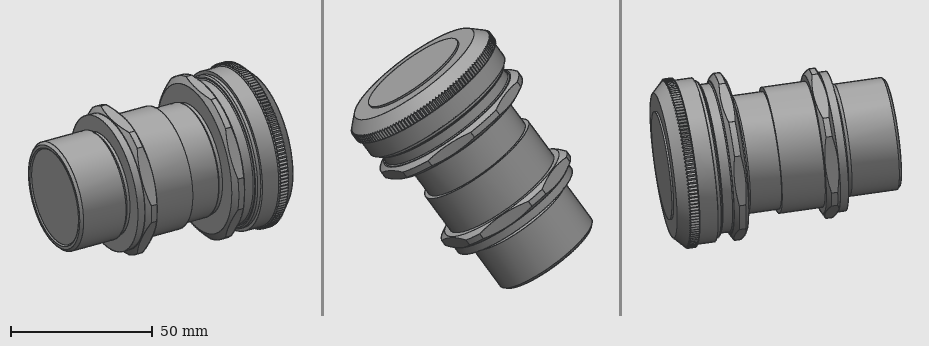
import cadquery as cq
import math

LENGTH = 82.5

SPIGOT_D = 40.0
SPIGOT_CHAMFER = 1.0
SPIGOT_END = 18.0
RELIEF_D = 38.0
RELIEF_START = 19.0

RECESS_D = 36.0
RECESS_TAPER = 0.5

FLANGE_D = 49.8
FLANGE_START = 20.1
SMALL_HEX_START = 23.0
SMALL_HEX_END = 28.05
SMALL_HEX_FLATS = 50.0
SMALL_HEX_CORNER_D = 54.2
SMALL_HEX_FACE_D = 49.3

BARREL_D = 45.0
BARREL_END = 43.5
THIN_BARREL_D = 42.0
THIN_BARREL_END = 54.6
GROOVE_D = 41.0
GROOVE_START = 55.1

LARGE_HEX_START = 56.4
LARGE_HEX_END = 61.6
LARGE_HEX_FLATS = 56.9
LARGE_HEX_CORNER_D = 59.8
LARGE_HEX_FACE_D = 54.8

NECK_D = 53.0
NECK_CHAMFER = 0.4
COLLAR_START = 65.9
COLLAR_D = 56.0
COLLAR_CHAMFER = 0.6
CAP_START = 67.7
CAP_D = 58.5

KNURL_START = 74.25
KNURL_TIP_START = 74.75
KNURL_D = 60.4
KNURL_END = 77.5
KNURL_TEETH = 140
KNURL_DEPTH = 0.6
CAP_FACE_D = 51.65
CAP_END = 81.8
BOSS_D = 38.5

HEX_SIDES = 6
HEX_CHAMFER_ANGLE = 30.0


def revolve_profile(stations):
    """Solid of revolution about Y from (y, diameter) stations."""
    points = [(diameter / 2, y) for y, diameter in stations]
    outline = [(0, stations[0][0])] + points + [(0, stations[-1][0])]
    return cq.Workplane("XY").polyline(outline).close().revolve(360, (0, 0, 0), (0, 1, 0))


def hexagon_nut(start, end, flats, corner_d, face_d):
    """Hexagon with flats facing +/-Z and its corners turned off by two cones."""
    chamfer = (corner_d - face_d) / 2 * math.tan(math.radians(HEX_CHAMFER_ANGLE))
    blank = revolve_profile([
        (start, face_d),
        (start + chamfer, corner_d),
        (end - chamfer, corner_d),
        (end, face_d),
    ])
    across_corners = flats / math.cos(math.pi / HEX_SIDES)
    prism = (
        cq.Workplane("XZ", origin=(0, start, 0))
        .polygon(HEX_SIDES, across_corners)
        .extrude(start - end)
    )
    return blank.intersect(prism)


def knurled_ring():
    """Ring of V teeth, bevelled at the front and running into the cap cone at the back."""
    blank = revolve_profile([
        (KNURL_START, CAP_D),
        (KNURL_TIP_START, KNURL_D),
        (KNURL_END, KNURL_D),
        (CAP_END, CAP_FACE_D),
    ])
    tip_r = KNURL_D / 2
    root_r = tip_r - KNURL_DEPTH
    half_pitch = math.pi / KNURL_TEETH
    outline = []
    for i in range(2 * KNURL_TEETH):
        radius = tip_r if i % 2 else root_r
        angle = i * half_pitch
        outline.append((radius * math.cos(angle), radius * math.sin(angle)))
    teeth = (
        cq.Workplane("XZ", origin=(0, KNURL_START, 0))
        .polyline(outline)
        .close()
        .extrude(KNURL_START - CAP_END)
    )
    return blank.intersect(teeth)


def front_recess():
    """Shallow recess narrowing at 45 degrees to its flat floor."""
    return revolve_profile([
        (0, RECESS_D),
        (RECESS_TAPER, RECESS_D - 2 * RECESS_TAPER),
    ])


body = revolve_profile([
    (0, SPIGOT_D - 2 * SPIGOT_CHAMFER),
    (SPIGOT_CHAMFER, SPIGOT_D),
    (SPIGOT_END, SPIGOT_D),
    (RELIEF_START, RELIEF_D),
    (FLANGE_START, RELIEF_D),
    (FLANGE_START, FLANGE_D),
    (SMALL_HEX_START, FLANGE_D),
    (SMALL_HEX_START, BARREL_D),
    (BARREL_END, BARREL_D),
    (BARREL_END, THIN_BARREL_D),
    (THIN_BARREL_END, THIN_BARREL_D),
    (GROOVE_START, GROOVE_D),
    (LARGE_HEX_END, GROOVE_D),
    (LARGE_HEX_END, NECK_D + 2 * NECK_CHAMFER),
    (LARGE_HEX_END + NECK_CHAMFER, NECK_D),
    (COLLAR_START - NECK_CHAMFER, NECK_D),
    (COLLAR_START, NECK_D + 2 * NECK_CHAMFER),
    (COLLAR_START, COLLAR_D - 2 * COLLAR_CHAMFER),
    (COLLAR_START + COLLAR_CHAMFER, COLLAR_D),
    (CAP_START, COLLAR_D),
    (CAP_START, CAP_D),
    (KNURL_START, CAP_D),
    (KNURL_START, BOSS_D),
    (LENGTH, BOSS_D),
])

small_hexagon = hexagon_nut(
    SMALL_HEX_START, SMALL_HEX_END, SMALL_HEX_FLATS, SMALL_HEX_CORNER_D, SMALL_HEX_FACE_D
)
large_hexagon = hexagon_nut(
    LARGE_HEX_START, LARGE_HEX_END, LARGE_HEX_FLATS, LARGE_HEX_CORNER_D, LARGE_HEX_FACE_D
)

result = body.union(small_hexagon).union(large_hexagon).union(knurled_ring()).cut(front_recess())